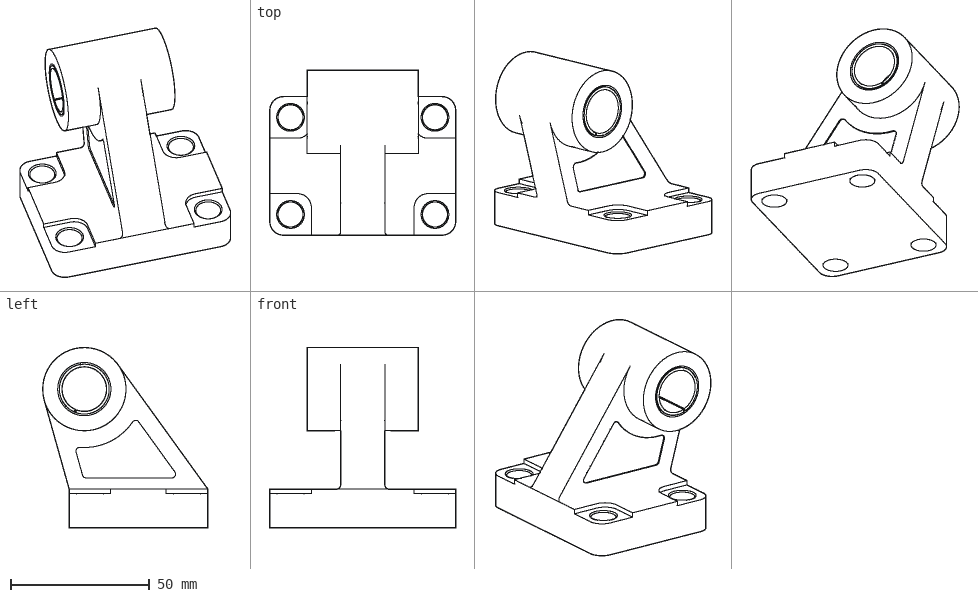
import cadquery as cq
import math


base_length = 67.0
base_depth = 50.0
base_height = 14.0
corner_radius = 5.0

seat_size = 15.0
seat_drop = 1.7
bolt_inset = 7.5
bolt_hole_diameter = 9.0
bolt_hole_chamfer = 0.5
countersink_angle = 90.0

boss_radius = 15.0
boss_length = 40.0
rim_chamfer = 0.6
axis_setback = 5.5
axis_y = base_depth / 2 - axis_setback
axis_z = 50.0

rib_width = 16.0
foot_fillet = 1.5

panel_border = 6.0
panel_floor_gap = 4.0
panel_depth = 0.5
panel_corner_radius = 1.35

bushing_outer_radius = 9.0
bushing_inner_radius = 8.0
bushing_length = boss_length / 2
slit_width = 0.5
slit_angle = 22.0

front_y = -base_depth / 2
back_y = base_depth / 2
axis_rise = axis_z - base_height


def flank_lean(axis_offset):
    """Lean from vertical of the tangent from a base edge to the boss.

    axis_offset is how far the boss axis lies inward of that edge.
    """
    distance = math.hypot(axis_offset, axis_rise)
    return math.atan2(axis_offset, axis_rise) - math.asin(boss_radius / distance)


front_lean = flank_lean(axis_y - front_y)
back_lean = flank_lean(back_y - axis_y)


def on_axis_circle(radius, elevation):
    """Point in the YZ plane on a circle about the boss axis."""
    return (axis_y + radius * math.cos(elevation), axis_z + radius * math.sin(elevation))


def x_cylinder(radius, length, start_x):
    """Cylinder on the boss axis, starting at start_x and running towards +X."""
    return (
        cq.Workplane("YZ", origin=(start_x, axis_y, axis_z))
        .circle(radius)
        .extrude(length)
    )


def make_base():
    base = (
        cq.Workplane("XY")
        .box(base_length, base_depth, base_height, centered=(True, True, False))
        .edges("|Z")
        .fillet(corner_radius)
    )
    seat_z = base_height - seat_drop
    seats = (
        cq.Workplane("XY", origin=(0, 0, seat_z))
        .rect(base_length, base_depth, forConstruction=True)
        .vertices()
        .rect(2 * seat_size, 2 * seat_size)
        .extrude(seat_drop)
        .edges("|Z")
        .fillet(corner_radius)
    )
    return (
        base.cut(seats)
        .copyWorkplane(cq.Workplane("XY", origin=(0, 0, seat_z)))
        .rect(base_length - 2 * bolt_inset, base_depth - 2 * bolt_inset, forConstruction=True)
        .vertices()
        .cskHole(bolt_hole_diameter, bolt_hole_diameter + 2 * bolt_hole_chamfer, countersink_angle)
    )


def make_rib():
    front_tangent = on_axis_circle(boss_radius, math.pi - front_lean)
    back_tangent = on_axis_circle(boss_radius, back_lean)
    side_outline = (
        cq.Workplane("YZ", origin=(-base_length / 2, 0, 0))
        .moveTo(front_y, base_height)
        .lineTo(*front_tangent)
        .lineTo(axis_y, axis_z)
        .lineTo(*back_tangent)
        .lineTo(back_y, base_height)
        .close()
        .extrude(base_length)
    )
    half_width = rib_width / 2
    fillet_top = base_height + foot_fillet
    fillet_mid = foot_fillet * (1 - math.sqrt(0.5))
    rib_top = axis_z + boss_radius
    cross_section = (
        cq.Workplane("XZ", origin=(0, back_y + boss_radius, 0))
        .moveTo(-half_width, rib_top)
        .lineTo(half_width, rib_top)
        .lineTo(half_width, fillet_top)
        .threePointArc(
            (half_width + fillet_mid, base_height + fillet_mid),
            (half_width + foot_fillet, base_height),
        )
        .lineTo(-half_width - foot_fillet, base_height)
        .threePointArc(
            (-half_width - fillet_mid, base_height + fillet_mid),
            (-half_width, fillet_top),
        )
        .close()
        .extrude(base_depth + 2 * boss_radius)
    )
    return side_outline.intersect(cross_section)


def make_panel(start_x):
    """Cutter for one side panel, inset evenly from the flanks and the boss."""
    front_inset = panel_border / math.cos(front_lean)
    back_inset = panel_border / math.cos(back_lean)

    def front_point(rise):
        return (front_y + front_inset + rise * math.tan(front_lean), base_height + rise)

    def back_point(rise):
        return (back_y - back_inset - rise * math.tan(back_lean), base_height + rise)

    boss_clearance = x_cylinder(boss_radius + panel_border, panel_depth, start_x)
    return (
        cq.Workplane("YZ", origin=(start_x, 0, 0))
        .polyline([
            front_point(panel_floor_gap),
            front_point(axis_rise),
            back_point(axis_rise),
            back_point(panel_floor_gap),
        ])
        .close()
        .extrude(panel_depth)
        .cut(boss_clearance)
        .edges("|X")
        .fillet(panel_corner_radius)
    )


def make_rim_cone(end_x):
    """Cone that chamfers the bore rim at the boss end lying at end_x."""
    inward = math.copysign(1, -end_x)
    rim_radius = bushing_outer_radius + rim_chamfer
    return cq.Workplane(
        cq.Solid.makeCone(
            rim_radius,
            rim_radius - 2 * rim_chamfer,
            2 * rim_chamfer,
            pnt=cq.Vector(end_x, axis_y, axis_z),
            dir=cq.Vector(inward, 0, 0),
        )
    )


def make_bracket():
    bracket = make_base().union(make_rib())
    bracket = bracket.union(x_cylinder(boss_radius, boss_length, -boss_length / 2))
    for start_x in (-rib_width / 2, rib_width / 2 - panel_depth):
        bracket = bracket.cut(make_panel(start_x))

    bore = x_cylinder(bushing_outer_radius, boss_length, -boss_length / 2)
    bracket = bracket.cut(bore)
    for start_x in (-boss_length / 2, boss_length / 2):
        bracket = bracket.cut(make_rim_cone(start_x))
    return bracket


def make_bushing(start_x):
    """Bushing with a slit along its full length, flush with the boss end."""
    ring = x_cylinder(bushing_outer_radius, bushing_length, start_x).cut(
        x_cylinder(bushing_inner_radius, bushing_length, start_x)
    )
    slit = (
        cq.Workplane("XY")
        .box(bushing_length, slit_width, boss_radius, centered=(False, True, False))
        .rotate((0, 0, 0), (1, 0, 0), 180 + slit_angle)
        .translate((start_x, axis_y, axis_z))
    )
    return ring.cut(slit)


bracket = make_bracket()
bushings = [make_bushing(start_x) for start_x in (-bushing_length, 0)]

result = cq.Compound.makeCompound([bracket.val(), *[bushing.val() for bushing in bushings]])